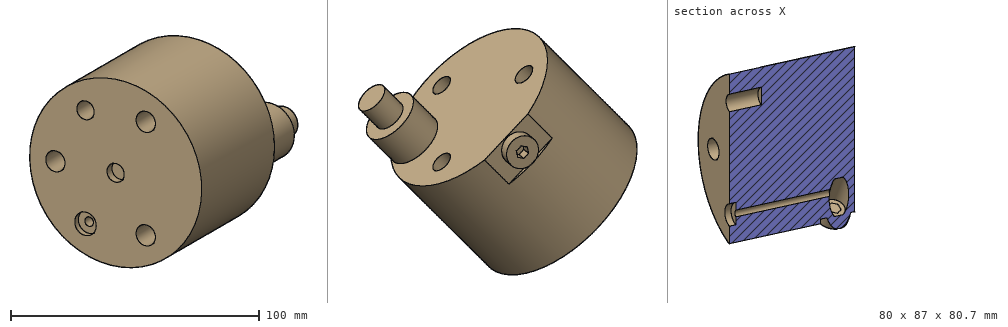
import cadquery as cq
import math

body_diameter = 80.0
body_length = 59.0

collar_diameter = 24.0
collar_length = 16.0
shaft_diameter = 13.5
shaft_length = 12.0

pitch_radius = 28.0
through_hole_diameter = 9.0
through_hole_angles = (60, 180, 300)
blind_hole_diameter = 8.0
center_hole_depth = 4.0
upper_hole_angle = 120
upper_hole_depth = 15.0
port_angle = 240
port_recess_diameter = 10.0
port_recess_depth = 3.0
port_hole_diameter = 4.0
chamber_diameter = 9.0
chamber_inner_distance = 24.0

flat_distance = 37.9
flat_length = 16.0
plug_diameter = 14.0
plug_setback = 7.5
plug_top_distance = 43.0
socket_across_flats = 4.9
socket_depth = 5.0

plug_y = body_length - plug_setback


def pitch_point(angle):
    """X and Z of a point on the pitch circle."""
    turn = math.radians(angle)
    return pitch_radius * math.cos(turn), pitch_radius * math.sin(turn)


def cylinder_along_y(center, diameter, start, length):
    x, z = center
    return cq.Workplane(cq.Solid.makeCylinder(
        diameter / 2, length, cq.Vector(x, start, z), cq.Vector(0, 1, 0)))


def plug_plane(distance):
    """Plane facing outward at the port angle, with its local X along Y."""
    turn = math.radians(port_angle)
    outward = cq.Vector(math.cos(turn), 0, math.sin(turn))
    origin = outward * distance + cq.Vector(0, plug_y, 0)
    return cq.Workplane(cq.Plane(origin, xDir=(0, 1, 0), normal=outward))


def add_stepped_shaft(part):
    shaft_center = (pitch_radius, 0)
    collar = cylinder_along_y(shaft_center, collar_diameter, body_length, collar_length)
    shaft = cylinder_along_y(shaft_center, shaft_diameter, body_length + collar_length, shaft_length)
    return part.union(collar).union(shaft)


def cut_front_holes(part):
    for angle in through_hole_angles:
        part = part.cut(cylinder_along_y(pitch_point(angle), through_hole_diameter, 0, body_length))
    part = part.cut(cylinder_along_y((0, 0), blind_hole_diameter, 0, center_hole_depth))
    upper = pitch_point(upper_hole_angle)
    return part.cut(cylinder_along_y(upper, blind_hole_diameter, 0, upper_hole_depth))


def add_plug(part):
    flat_front = body_length - flat_length
    flat_cutter = (
        plug_plane(flat_distance)
        .center(flat_front + flat_length / 2 - plug_y, 0)
        .rect(flat_length, body_diameter)
        .extrude(body_diameter / 2 - flat_distance)
    )
    plug = plug_plane(flat_distance).circle(plug_diameter / 2).extrude(plug_top_distance - flat_distance)
    socket_across_corners = socket_across_flats / math.cos(math.pi / 6)
    socket = (
        plug_plane(plug_top_distance)
        .transformed(rotate=(0, 0, 90))
        .polygon(6, socket_across_corners)
        .extrude(-socket_depth)
    )
    return part.cut(flat_cutter).union(plug).cut(socket)


def cut_port(part):
    """Recessed port whose narrow hole opens into a closed round chamber under the plug."""
    center = pitch_point(port_angle)
    recess = cylinder_along_y(center, port_recess_diameter, 0, port_recess_depth)
    hole = cylinder_along_y(center, port_hole_diameter, 0, plug_y)
    chamber_length = flat_distance - chamber_inner_distance
    chamber = plug_plane(chamber_inner_distance).circle(chamber_diameter / 2).extrude(chamber_length)
    return part.cut(recess).cut(hole).cut(chamber)


body = cylinder_along_y((0, 0), body_diameter, 0, body_length)
result = cut_port(add_plug(cut_front_holes(add_stepped_shaft(body))))